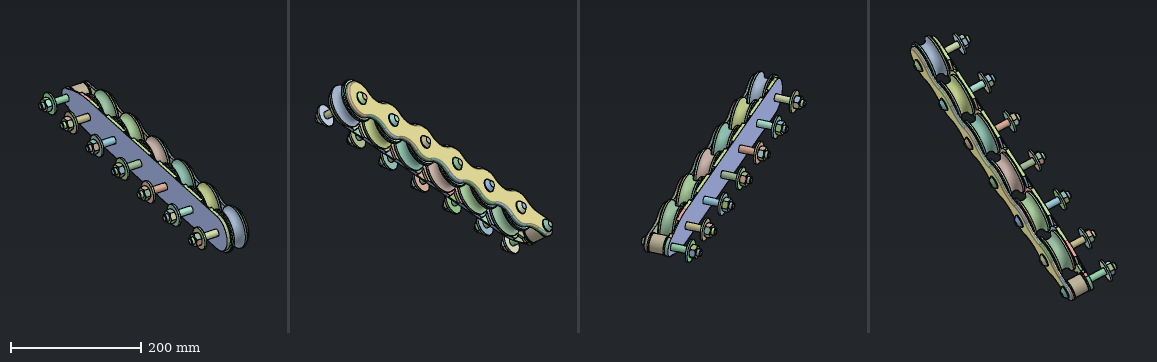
import cadquery as cq
import math

overall_length = 495.5
washer_diameter = 36.0
roller_diameter = 69.5

roller_count = 6
first_gap = 63.0
bolt_span = overall_length - washer_diameter / 2 - roller_diameter / 2
roller_pitch = (bolt_span - first_gap) / (roller_count - 1)
roller_positions = [first_gap + i * roller_pitch for i in range(roller_count)]
bolt_positions = [0] + roller_positions

bolt_length = 96.5
head_height = 7.5
plate_thickness = 6.0
plate_gap = 28.8
back_plate_back = bolt_length - head_height
back_plate_front = back_plate_back - plate_thickness
front_plate_back = back_plate_front - plate_gap
front_plate_front = front_plate_back - plate_thickness

plate_height = 60.0
nose_diameter = 32.0
nose_radius = nose_diameter / 2

cover_thickness = 2.0
pad_diameter = 80.0
nose_pad_diameter = 39.5
neck_pad_height = 28.8

lobe_radius = plate_height / 2
waist_radius = 34.5
neck_length = 20.5
back_edge_fillet = 3.0

groove_radius = 10
groove_depth = 8.5
rim_land = 3.0
roller_face_diameter = 67.0

sleeve_diameter = 30.0
collar_diameter = 31.5
collar_width = 3.0
collar_chamfer = 1.0

shank_diameter = 12.0
shank_chamfer = 1.25
head_top_diameter = 10.5
head_base_diameter = 21.0
head_cone_height = 6.0
washer_thickness = 3.2
nut_width = 20
nut_height = 10
nut_front = 6.2
nut_angles = [15] + [0] * (roller_count - 1) + [30]


def disc(x, diameter, front, back):
    """Cylinder along Y centred on the bolt at x."""
    return (
        cq.Workplane("XZ", origin=(x, front, 0))
        .circle(diameter / 2)
        .extrude(front - back)
    )


def tapered_plate(front, back):
    """Plate with a full round at the rollers' end and two arcs narrowing to a small round nose."""
    half_height = plate_height / 2
    last = roller_positions[-1]
    drop = half_height - nose_radius
    flank_radius = (first_gap**2 + drop**2) / (2 * drop)
    half_angle = math.asin(first_gap / flank_radius) / 2
    mid_x = first_gap - flank_radius * math.sin(half_angle)
    mid_z = half_height - flank_radius * (1 - math.cos(half_angle))
    return (
        cq.Workplane("XZ", origin=(0, front, 0))
        .moveTo(0, nose_radius)
        .threePointArc((mid_x, mid_z), (first_gap, half_height))
        .lineTo(last, half_height)
        .threePointArc((last + half_height, 0), (last, -half_height))
        .lineTo(first_gap, -half_height)
        .threePointArc((mid_x, -mid_z), (0, -nose_radius))
        .threePointArc((-nose_radius, 0), (0, nose_radius))
        .close()
        .extrude(front - back)
    )


def front_plate():
    """Straight cover with pads behind it, around each roller and along the neck."""
    pad_front = front_plate_front + cover_thickness
    pads = disc(0, nose_pad_diameter, pad_front, front_plate_back)
    neck = (
        cq.Workplane("XZ", origin=(0, pad_front, 0))
        .center(first_gap / 2, 0)
        .rect(first_gap, neck_pad_height)
        .extrude(pad_front - front_plate_back)
    )
    pads = pads.union(neck)
    for x in roller_positions:
        pads = pads.union(disc(x, pad_diameter, pad_front, front_plate_back))
    pads = pads.intersect(tapered_plate(pad_front, front_plate_back))
    return tapered_plate(front_plate_front, pad_front).union(pads)


def scallop_half(sign):
    """Points of one long edge, from the neck to the last lobe, as pairs of arc middle and arc end."""
    reach = first_gap - neck_length
    entry_radius = (reach**2 + nose_radius**2 - lobe_radius**2) / (2 * (lobe_radius - nose_radius))
    entry_angle = math.atan2(reach, nose_radius + entry_radius)
    waist_angle = math.asin(roller_pitch / 2 / (lobe_radius + waist_radius))
    waist_z = (lobe_radius + waist_radius) * math.cos(waist_angle) - waist_radius

    def on_lobe(x, angle):
        return (x + lobe_radius * math.sin(angle), sign * lobe_radius * math.cos(angle))

    entry_mid = (
        neck_length + entry_radius * math.sin(entry_angle / 2),
        sign * (nose_radius + entry_radius * (1 - math.cos(entry_angle / 2))),
    )
    arcs = [(entry_mid, on_lobe(first_gap, -entry_angle))]
    for x in roller_positions[:-1]:
        arcs.append((on_lobe(x, 0), on_lobe(x, waist_angle)))
        waist_mid = (x + roller_pitch / 2, sign * waist_z)
        arcs.append((waist_mid, on_lobe(x + roller_pitch, -waist_angle)))
    return arcs


def back_plate():
    """Plate with a round lobe behind each roller, smooth waists between them and a rounded back edge."""
    upper = scallop_half(1)
    lower = scallop_half(-1)
    outline = (
        cq.Workplane("XZ", origin=(0, back_plate_front, 0))
        .moveTo(0, nose_radius)
        .lineTo(neck_length, nose_radius)
    )
    for middle, end in upper:
        outline = outline.threePointArc(middle, end)
    outline = outline.threePointArc((roller_positions[-1] + lobe_radius, 0), lower[-1][1])
    lower_ends = [end for _, end in lower[-2::-1]] + [(neck_length, -nose_radius)]
    lower_middles = [middle for middle, _ in lower[::-1]]
    for middle, end in zip(lower_middles, lower_ends):
        outline = outline.threePointArc(middle, end)
    return (
        outline.lineTo(0, -nose_radius)
        .threePointArc((-nose_radius, 0), (0, nose_radius))
        .close()
        .extrude(-plate_thickness)
        .faces(">Y")
        .edges()
        .fillet(back_edge_fillet)
    )


def sleeve():
    """Spacer between the plates at the nose, with a bevelled collar at each end."""
    front_collar = disc(0, collar_diameter, front_plate_back, front_plate_back + collar_width)
    back_collar = disc(0, collar_diameter, back_plate_front - collar_width, back_plate_front)
    return (
        disc(0, sleeve_diameter, front_plate_back, back_plate_front)
        .union(front_collar.faces(">Y").chamfer(collar_chamfer))
        .union(back_collar.faces("<Y").chamfer(collar_chamfer))
    )


def roller(x):
    """Roller with a round groove between two rims, turned about the bolt axis."""
    middle = (front_plate_back + back_plate_front) / 2
    half_width = plate_gap / 2
    rim_radius = roller_diameter / 2
    face_radius = roller_face_diameter / 2
    rim_inner = math.sqrt(groove_radius**2 - (groove_radius - groove_depth) ** 2)
    rim_outer = rim_inner + rim_land
    return (
        cq.Workplane("XY", origin=(x, middle, 0))
        .moveTo(0, -half_width)
        .lineTo(face_radius, -half_width)
        .lineTo(rim_radius, -rim_outer)
        .lineTo(rim_radius, -rim_inner)
        .threePointArc((rim_radius - groove_depth, 0), (rim_radius, rim_inner))
        .lineTo(rim_radius, rim_outer)
        .lineTo(face_radius, half_width)
        .lineTo(0, half_width)
        .close()
        .revolve(360, (0, 0, 0), (0, 1, 0))
    )


def bolt(x):
    """Bolt with a conical head at the back and a chamfered free end at the front."""
    shank_radius = shank_diameter / 2
    return (
        cq.Workplane("XY", origin=(x, 0, 0))
        .lineTo(shank_radius - shank_chamfer, 0)
        .lineTo(shank_radius, shank_chamfer)
        .lineTo(shank_radius, back_plate_back)
        .lineTo(head_base_diameter / 2, back_plate_back)
        .lineTo(head_base_diameter / 2, bolt_length - head_cone_height)
        .lineTo(head_top_diameter / 2, bolt_length)
        .lineTo(0, bolt_length)
        .close()
        .revolve(360, (0, 0, 0), (0, 1, 0))
    )


def nut(x, angle):
    """Hexagonal nut with its corners bevelled at both ends, turned by angle about the bolt."""
    nut_back = nut_front + nut_height
    corner_diameter = nut_width / math.cos(math.pi / 6)
    hexagon = (
        cq.Workplane("XZ", origin=(x, nut_front, 0))
        .transformed(rotate=(0, 0, angle))
        .polygon(6, corner_diameter)
        .extrude(-nut_height)
    )
    bevel = (corner_diameter - nut_width) / 2
    envelope = disc(x, corner_diameter, nut_front, nut_back).edges().chamfer(bevel)
    return hexagon.intersect(envelope)


washer_front = nut_front + nut_height
washer_back = washer_front + washer_thickness

result = front_plate().union(back_plate()).union(sleeve())

for x, angle in zip(bolt_positions, nut_angles):
    fastener = bolt(x)
    fastener = fastener.union(disc(x, washer_diameter, washer_front, washer_back))
    fastener = fastener.union(nut(x, angle))
    if x in roller_positions:
        fastener = fastener.union(roller(x))
    result = result.union(fastener)